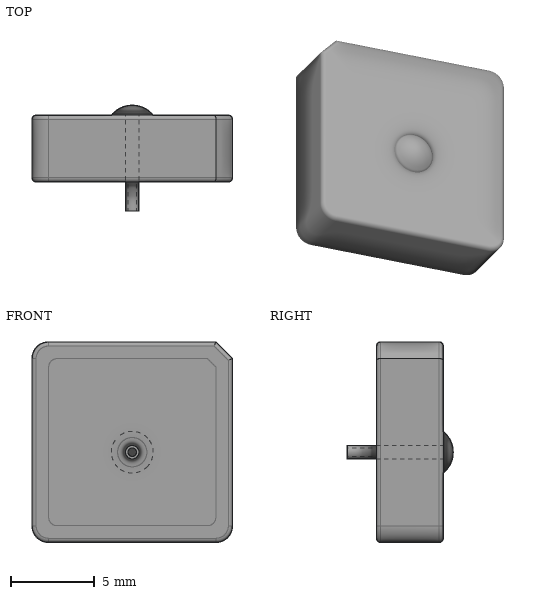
import cadquery as cq
import math

block_side = 12.0
block_depth = 4.0
block_corner = 1.0
edge_radius = 0.25

electrode_side = 10.0
electrode_corner = 0.5
electrode_thickness = 0.06
clearance_diameter = 1.75

shank_diameter = 0.8
shank_projection = 1.75
bore_diameter = 0.5
bore_depth = shank_projection
head_diameter = 2.5
head_height = 0.6
rim_height = 0.08
pin_z = -0.6

front_y = -block_depth / 2
back_y = block_depth / 2
tip_y = front_y - shank_projection


def keyed_square(side, corner, depth):
    """Slab from the front face towards +Y: three round corners, the +X +Z corner chamfered."""
    slab = cq.Workplane("XZ", origin=(0, front_y, 0)).rect(side, side).extrude(-depth)
    half = side / 2
    middle = front_y + depth / 2
    slab = slab.edges(cq.NearestToPointSelector((half, middle, half))).chamfer(corner)
    for x, z in ((-half, half), (-half, -half), (half, -half)):
        slab = slab.edges(cq.NearestToPointSelector((x, middle, z))).fillet(corner)
    return slab


def pin_cylinder(diameter, start_y, length):
    """Cylinder on the pin axis from start_y towards +Y."""
    return cq.Workplane("XZ", origin=(0, start_y, pin_z)).circle(diameter / 2).extrude(-length)


def make_block():
    block = keyed_square(block_side, block_corner, block_depth)
    block = block.faces("<Y or >Y").edges().fillet(edge_radius)

    electrode = keyed_square(electrode_side, electrode_corner, electrode_thickness)
    electrode = electrode.cut(pin_cylinder(clearance_diameter, front_y, electrode_thickness))
    block = block.cut(electrode).union(electrode, clean=False)

    return block.cut(pin_cylinder(shank_diameter, front_y, block_depth), clean=False)


def make_head():
    """Spherical dome on a short conical rim; both ends of the rim lie on the dome's sphere."""
    head_radius = head_diameter / 2
    sphere_radius = (head_radius**2 + head_height**2) / (2 * head_height)
    sphere_y = head_height - sphere_radius
    rim_top_radius = math.sqrt(sphere_radius**2 - (rim_height - sphere_y) ** 2)
    arc_angle = math.atan2(rim_top_radius, rim_height - sphere_y) / 2
    arc_middle = (sphere_radius * math.sin(arc_angle), sphere_y + sphere_radius * math.cos(arc_angle))
    return (
        cq.Workplane("XY", origin=(0, back_y, pin_z))
        .lineTo(head_radius, 0)
        .lineTo(rim_top_radius, rim_height)
        .threePointArc(arc_middle, (0, head_height))
        .close()
        .revolve(360, (0, 0, 0), (0, 1, 0))
    )


def make_pin():
    shank = pin_cylinder(shank_diameter, tip_y, shank_projection + block_depth)
    bore = pin_cylinder(bore_diameter, tip_y, bore_depth)
    return shank.union(make_head()).cut(bore)


block = make_block()
pin = make_pin()

result = cq.Compound.makeCompound([block.solids().val(), pin.solids().val()])